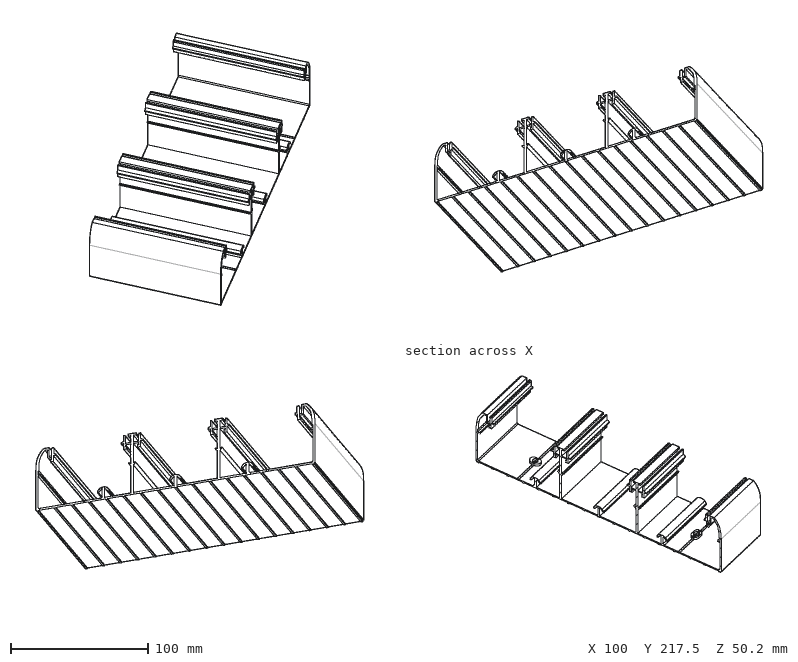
import cadquery as cq

LENGTH = 100.0
WIDTH = 217.5
HEIGHT = 50.2
HALF = WIDTH / 2

PLATE_BOTTOM = 0.5
PLATE_TOP = 2.0
CORNER_CHAMFER = 0.9
FEET_PER_SIDE = 8
LAST_FOOT_Y = 107.2
FOOT_WIDTH = 2.2
FOOT_TIP_WIDTH = 1.3

WALL = 1.7
UPPER_WALL = 2.5
STEP_HEIGHT = 1.0
SHOULDER_Z = 32.8
CROWN_INSET = 6.3
CROWN_DIRECTION = (-1.0, 0.8)
OUTER_BEND_INSET = 1.5
OUTER_BEND_Z = 43.7
INNER_BEND_INSET = 3.7
INNER_BEND_Z = 43.3
INNER_CROWN_INSET = 7.2
INNER_CROWN_DIRECTION = (1.0, -1.0)
UPWARD = (0.0, 1.0)
DOWNWARD = (0.0, -1.0)
WALL_BRACE = 0.9
NIB_Z = 29.1
NIB_HEIGHT = 1.3
NIB_REACH = 3.5

LIP = 1.7
BAR_BOTTOM = 41.8
BAR_TOP = 43.0
POST_TOP = 49.5
POST_BOTTOM = 38.3
POST_WIDTH = 1.5
POST_TAPER = 0.5
POST_TAPER_HEIGHT = 1.0
BARB_REACH = 2.0
BARB_HEIGHT = 2.2
BARB_TIP_HEIGHT = 0.9
TOE_REACH = 0.7
TOE_HEIGHT = 2.2
EDGE_POST_Y = HALF - 13.7
EDGE_POST_EXTRA = 0.7
HOOK_INSET = 10.5
HOOK_WALL = 1.3
HOOK_CHAMFER = 0.7

PARTITION_Y = 33.7
STEM = 2.2
HEAD_WIDTH = 6.0
PARTITION_POST_OFFSET = 6.5
WING_ROOT_Z = 24.0
WING_TIP_Z = 26.8
WING_REACH = 2.8
WING_ROOT_HEIGHT = 2.2
WING_TIP_CHAMFER = 0.5

MUSHROOM_Y = 56.1
CAP_TOP = 10.7
CAP_SHOULDER_Y = 3.3
CAP_SHOULDER_Z = 9.5
CAP_REACH = 4.5
CAP_TIP_TOP = 7.8
CAP_TIP_BOTTOM = 6.5
CAP_TIP_WIDTH = 0.9
CAP_UNDERSIDE = 9.4
FOOT_BRACE = 1.0

GROOVE_Y = 71.3
GROOVE_WIDTH = 1.5
GROOVE_DEPTH = 0.2
PAD_X = -22.0
PAD_LENGTH = 9.1
PAD_WIDTH = 6.0
PAD_HEIGHT = 2.0
PAD_HOLE_DIAMETER = 4.1
NOTCH_DEPTH = 0.7

OVERLAP = 0.2


def section():
    return cq.Workplane("YZ").workplane(offset=-LENGTH / 2)


def prism(points):
    return section().polyline(points).close().extrude(LENGTH)


def bar(y_start, y_end, z_start, z_end):
    return prism([(y_start, z_start), (y_end, z_start), (y_end, z_end), (y_start, z_end)])


def base_plate():
    bottom_y = HALF - CORNER_CHAMFER
    plate = prism([
        (-bottom_y, PLATE_BOTTOM),
        (bottom_y, PLATE_BOTTOM),
        (HALF, PLATE_BOTTOM + CORNER_CHAMFER),
        (HALF, PLATE_TOP),
        (-HALF, PLATE_TOP),
        (-HALF, PLATE_BOTTOM + CORNER_CHAMFER),
    ])
    pitch = LAST_FOOT_Y / FEET_PER_SIDE
    for index in range(-FEET_PER_SIDE, FEET_PER_SIDE + 1):
        y = index * pitch
        plate = plate.union(prism([
            (y - FOOT_TIP_WIDTH / 2, 0),
            (y + FOOT_TIP_WIDTH / 2, 0),
            (y + FOOT_WIDTH / 2, PLATE_BOTTOM + OVERLAP),
            (y - FOOT_WIDTH / 2, PLATE_BOTTOM + OVERLAP),
        ]))
    return plate


def clip_post(outer_y, side):
    """Post whose outer face, at outer_y, looks towards side (+1 or -1) along Y."""
    def at(depth):
        return outer_y - side * depth

    upper = prism([
        (at(0), BAR_BOTTOM),
        (at(0), POST_TOP),
        (at(POST_WIDTH - POST_TAPER), POST_TOP),
        (at(POST_WIDTH), POST_TOP - POST_TAPER_HEIGHT),
        (at(POST_WIDTH), BAR_BOTTOM),
    ])
    barb = prism([
        (at(OVERLAP), BAR_TOP),
        (at(-BARB_REACH), BAR_TOP),
        (at(-BARB_REACH), BAR_TOP + BARB_TIP_HEIGHT),
        (at(OVERLAP), BAR_TOP + BARB_HEIGHT),
    ])
    lower = bar(at(0), at(POST_WIDTH), POST_BOTTOM, BAR_TOP)
    toe = bar(at(0), at(POST_WIDTH + TOE_REACH), POST_BOTTOM, POST_BOTTOM + TOE_HEIGHT)
    return upper.union(barb).union(lower).union(toe)


def side_wall():
    inner_y = HALF - WALL
    inner_crown_y = HALF - INNER_CROWN_INSET
    hook_y = HALF - HOOK_INSET
    wall = (
        section()
        .moveTo(HALF, PLATE_BOTTOM + CORNER_CHAMFER)
        .lineTo(HALF, SHOULDER_Z)
        .spline(
            [(HALF - OUTER_BEND_INSET, OUTER_BEND_Z), (HALF - CROWN_INSET, HEIGHT)],
            tangents=[UPWARD, CROWN_DIRECTION],
            includeCurrent=True,
        )
        .lineTo(hook_y, HEIGHT)
        .lineTo(hook_y, BAR_BOTTOM)
        .lineTo(hook_y + HOOK_WALL - HOOK_CHAMFER, BAR_BOTTOM)
        .lineTo(hook_y + HOOK_WALL, BAR_BOTTOM + HOOK_CHAMFER)
        .lineTo(hook_y + HOOK_WALL, HEIGHT - LIP)
        .lineTo(inner_crown_y, HEIGHT - LIP)
        .spline(
            [(HALF - INNER_BEND_INSET, INNER_BEND_Z), (HALF - UPPER_WALL, SHOULDER_Z)],
            tangents=[INNER_CROWN_DIRECTION, DOWNWARD],
            includeCurrent=True,
        )
        .lineTo(inner_y, SHOULDER_Z - STEP_HEIGHT)
        .lineTo(inner_y, PLATE_TOP + WALL_BRACE)
        .lineTo(inner_y - WALL_BRACE, PLATE_TOP)
        .lineTo(inner_y - WALL_BRACE, PLATE_BOTTOM + CORNER_CHAMFER)
        .close()
        .extrude(LENGTH)
    )
    nib = bar(HALF - NIB_REACH, HALF - OVERLAP, NIB_Z - NIB_HEIGHT / 2, NIB_Z + NIB_HEIGHT / 2)
    tray = bar(EDGE_POST_Y + OVERLAP, hook_y + OVERLAP, BAR_BOTTOM, BAR_TOP)
    post = clip_post(EDGE_POST_Y, -1)
    thickening = prism([
        (EDGE_POST_Y + OVERLAP, BAR_TOP),
        (EDGE_POST_Y - EDGE_POST_EXTRA, BAR_TOP),
        (EDGE_POST_Y - EDGE_POST_EXTRA, POST_TOP - EDGE_POST_EXTRA),
        (EDGE_POST_Y, POST_TOP),
        (EDGE_POST_Y + OVERLAP, POST_TOP),
    ])
    return wall.union(nib).union(tray).union(post).union(thickening)


def wing(side):
    root_y = PARTITION_Y + side * (STEM / 2 - OVERLAP)
    tip_y = PARTITION_Y + side * WING_REACH
    return prism([
        (root_y, WING_ROOT_Z),
        (tip_y, WING_TIP_Z - WING_TIP_CHAMFER),
        (tip_y - side * WING_TIP_CHAMFER, WING_TIP_Z),
        (root_y, WING_ROOT_Z + WING_ROOT_HEIGHT),
    ])


def partition():
    body = bar(PARTITION_Y - STEM / 2, PARTITION_Y + STEM / 2, PLATE_BOTTOM, HEIGHT)
    head = bar(PARTITION_Y - HEAD_WIDTH / 2, PARTITION_Y + HEAD_WIDTH / 2, HEIGHT - LIP, HEIGHT)
    reach = PARTITION_POST_OFFSET - OVERLAP
    crossbar = bar(PARTITION_Y - reach, PARTITION_Y + reach, BAR_BOTTOM, BAR_TOP)
    body = body.union(head).union(crossbar)
    for side in (1, -1):
        body = body.union(clip_post(PARTITION_Y + side * PARTITION_POST_OFFSET, side))
        body = body.union(wing(side))
    return body


def mushroom(y):
    cap = (
        section()
        .moveTo(y - CAP_SHOULDER_Y, CAP_SHOULDER_Z)
        .threePointArc((y, CAP_TOP), (y + CAP_SHOULDER_Y, CAP_SHOULDER_Z))
        .lineTo(y + CAP_REACH, CAP_TIP_TOP)
        .lineTo(y + CAP_REACH, CAP_TIP_BOTTOM)
        .lineTo(y + CAP_REACH - CAP_TIP_WIDTH, CAP_TIP_BOTTOM)
        .lineTo(y + STEM / 2, CAP_UNDERSIDE)
        .lineTo(y - STEM / 2, CAP_UNDERSIDE)
        .lineTo(y - CAP_REACH + CAP_TIP_WIDTH, CAP_TIP_BOTTOM)
        .lineTo(y - CAP_REACH, CAP_TIP_BOTTOM)
        .lineTo(y - CAP_REACH, CAP_TIP_TOP)
        .close()
        .extrude(LENGTH)
    )
    stem = bar(y - STEM / 2, y + STEM / 2, PLATE_BOTTOM, CAP_UNDERSIDE + OVERLAP)
    return cap.union(stem)


def outer_mushroom():
    """Mushroom beside a side wall, braced at the foot of its outward face."""
    face_y = MUSHROOM_Y + STEM / 2
    brace = prism([
        (face_y - OVERLAP, PLATE_TOP - OVERLAP),
        (face_y + FOOT_BRACE, PLATE_TOP - OVERLAP),
        (face_y + FOOT_BRACE, PLATE_TOP),
        (face_y, PLATE_TOP + FOOT_BRACE),
        (face_y - OVERLAP, PLATE_TOP + FOOT_BRACE),
    ])
    return mushroom(MUSHROOM_Y).union(brace)


def groove(y, top_z, depth):
    return bar(y - GROOVE_WIDTH / 2, y + GROOVE_WIDTH / 2, top_z - depth, top_z)


def screw_pad(y, angle):
    """Rounded pad with a blind hole and a notch in line with the groove below."""
    floor = cq.Workplane("XY", origin=(PAD_X, y, PLATE_TOP - GROOVE_DEPTH))
    depth = GROOVE_DEPTH + PAD_HEIGHT
    pad = floor.slot2D(PAD_LENGTH, PAD_WIDTH, angle).extrude(depth)
    hole = floor.circle(PAD_HOLE_DIAMETER / 2).extrude(depth)
    notch = groove(y, PLATE_TOP + PAD_HEIGHT, NOTCH_DEPTH)
    return pad.cut(hole).cut(notch)


half_rails = side_wall().union(partition()).union(outer_mushroom())
result = base_plate().union(half_rails).union(half_rails.mirror("XZ")).union(mushroom(0))

for groove_y, pad_angle in ((GROOVE_Y, 0), (-GROOVE_Y, 90)):
    result = result.cut(groove(groove_y, PLATE_TOP, GROOVE_DEPTH))
    result = result.union(screw_pad(groove_y, pad_angle))